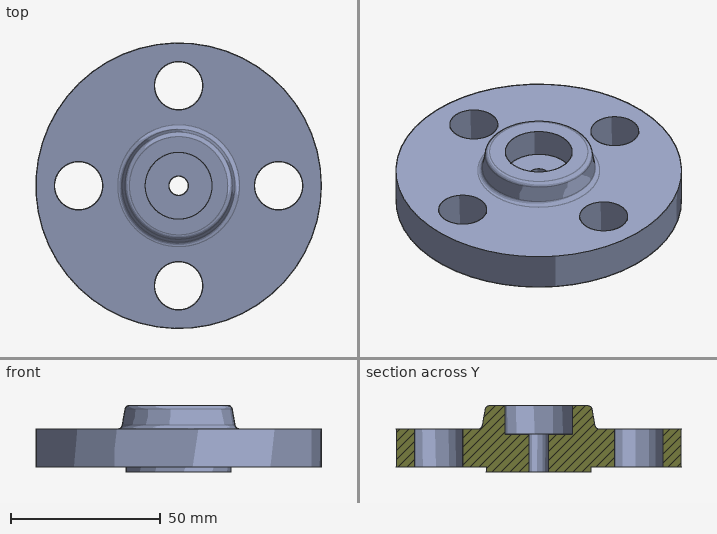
import cadquery as cq

flange_diameter = 95.2
flange_thickness = 12.8

face_diameter = 35.0
face_height = 1.6

hub_base_diameter = 38.1
hub_top_diameter = 35.3
hub_height = 7.8
hub_round_radius = 1.5

socket_diameter = 22.3
socket_depth = 9.5
bore_diameter = 6.4

bolt_count = 4
bolt_hole_diameter = 16.0
bolt_circle_diameter = 66.7

hub_top = flange_thickness + hub_height


def cylinder(diameter, bottom, top):
    """Upright cylinder on the flange axis."""
    return cq.Workplane("XY", origin=(0, 0, bottom)).circle(diameter / 2).extrude(top - bottom)


def tapered_hub():
    """Cone frustum standing on the disc."""
    half_section = [
        (0, flange_thickness),
        (hub_base_diameter / 2, flange_thickness),
        (hub_top_diameter / 2, hub_top),
        (0, hub_top),
    ]
    return cq.Workplane("XZ").polyline(half_section).close().revolve(360, (0, 0, 0), (0, 1, 0))


def bolt_holes():
    """Through holes spaced evenly on the bolt circle."""
    return (
        cq.Workplane("XY")
        .polarArray(bolt_circle_diameter / 2, 0, 360, bolt_count)
        .circle(bolt_hole_diameter / 2)
        .extrude(flange_thickness)
    )


disc = cylinder(flange_diameter, 0, flange_thickness)
raised_face = cylinder(face_diameter, -face_height, 0)
socket = cylinder(socket_diameter, hub_top - socket_depth, hub_top)
bore = cylinder(bore_diameter, -face_height, hub_top)

body = disc.union(tapered_hub())
body = body.faces(">Z").edges().fillet(hub_round_radius)
hub_corner = cq.selectors.BoxSelector(
    (-hub_base_diameter, -hub_base_diameter, flange_thickness - hub_round_radius),
    (hub_base_diameter, hub_base_diameter, flange_thickness + hub_round_radius),
    boundingbox=True,
)
body = body.edges(hub_corner).fillet(hub_round_radius)

result = body.union(raised_face).cut(socket).cut(bore).cut(bolt_holes())